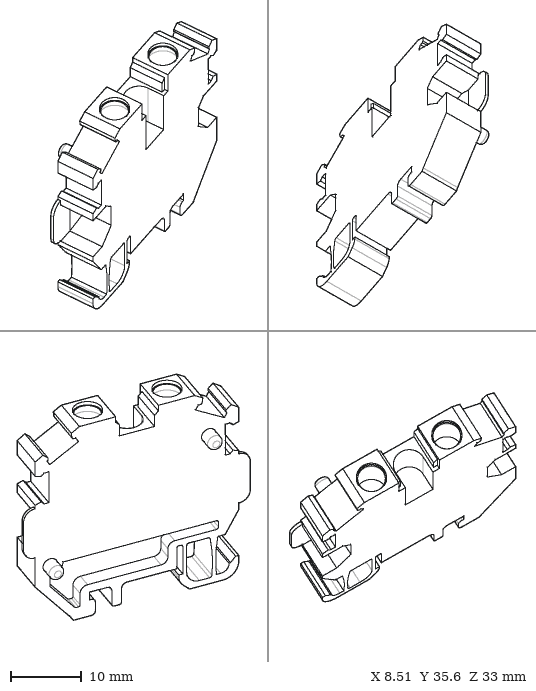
import cadquery as cq
import math


BODY_THICKNESS = 5.98
PIN_LENGTH = 2.53
HEIGHT = 33.0
HALF_WIDTH = 16.0
BASE_TOP = 12.4

NOTCH_FLOOR = 29.55
NOTCH_HALF_WIDTH = 2.75
NOTCH_LEDGE = 0.6
NOTCH_LEDGE_TOP = 32.05
NOTCH_OPEN_X = 5.4

NECK_HALF_WIDTH = 13.85
FLANK_GROOVE_BOTTOM = 21.35
FLANK_GROOVE_TOP = 26.63

SCREW_X = 3.25
SCREW_Y = 6.23
SCREW_RIM_DIAMETER = 4.27
SCREW_RIM_DEPTH = 0.57
SCREW_THROAT_DIAMETER = 3.9
SCREW_CAVITY_DIAMETER = 4.55
SCREW_CAVITY_TOP_DEPTH = 1.78
SCREW_HOLE_DEPTH = 7.12
SLOT_RADIUS = 2.28
SLOT_CENTER_X = 3.3
SLOT_DEPTH = 7.12

FLANGE_HALF_WIDTH = 17.8
FLANGE_THICKNESS = 0.5
FLANGE_BOTTOM = 12.5
FLANGE_TOP = 20.95
FLANGE_RADIUS = 1.78

FUNNEL_TOP = 20.0
FUNNEL_FLOOR_Y = 11.3
FUNNEL_FLOOR_X = 1.42
FUNNEL_FLOOR_BOTTOM = 14.75
FUNNEL_FLOOR_TOP = 18.7

RAIL_SEAT = 4.1
SPRING_TOP = 7.95
GAP_TOP = 7.73
FOOT_RADIUS = 2.53
WINDOW_RADIUS = 0.35

PIN_DIAMETER = 2.25
PIN_EDGE_RADIUS = 0.57
UPPER_PIN = (-11.25, 25.53)
LOWER_PIN = (13.65, 10.55)
RECESS_DEPTH = 2.35
RECESS_TOP = 10.5
RECESS_PIN_CLEARANCE = 2.0


def rounded_outline(corners):
    """Closed YZ outline through (y, z, radius) corners; radius 0 keeps a corner sharp."""
    outline = None
    for index, (y, z, radius) in enumerate(corners):
        corner = cq.Vector(y, z, 0)
        before = (cq.Vector(*corners[index - 1][:2], 0) - corner).normalized()
        after = (cq.Vector(*corners[(index + 1) % len(corners)][:2], 0) - corner).normalized()
        half_angle = before.getAngle(after) / 2
        setback = radius / math.tan(half_angle)
        start = corner + before * setback
        if outline is None:
            outline = cq.Workplane("YZ").moveTo(start.x, start.y)
        else:
            outline = outline.lineTo(start.x, start.y)
        if radius > 0:
            bisector = (before + after).normalized()
            middle = corner + bisector * (radius / math.sin(half_angle) - radius)
            end = corner + after * setback
            outline = outline.threePointArc((middle.x, middle.y), (end.x, end.y))
    return outline.close()


def both_sides(solid):
    return solid.union(solid.mirror("XZ"))


def make_head():
    """Upper housing: screw towers, sloped shoulders and marker hooks."""
    ledge_y = NOTCH_HALF_WIDTH + NOTCH_LEDGE
    half = rounded_outline([
        (0, BASE_TOP, 0),
        (0, NOTCH_FLOOR, 0),
        (NOTCH_HALF_WIDTH, NOTCH_FLOOR, 0),
        (NOTCH_HALF_WIDTH, NOTCH_LEDGE_TOP - NOTCH_LEDGE, 0),
        (ledge_y, NOTCH_LEDGE_TOP, 0),
        (ledge_y, HEIGHT, 0),
        (9.05, HEIGHT, 0),
        (10.32, 32.22, 0),
        (10.2, 31.45, 0),
        (10.07, 31.2, 0),
        (9.6, 31.2, 0),
        (9.2, 30.47, 0),
        (13.7, 27.85, 0),
        (14.1, 28.5, 0),
        (13.95, 28.75, 0),
        (14.0, 29.1, 0),
        (14.77, 29.75, 0),
        (HALF_WIDTH, 28.95, 0),
        (HALF_WIDTH, 26.5, 0),
        (15.05, 26.2, 0),
        (14.6, FLANK_GROOVE_TOP, 0),
        (NECK_HALF_WIDTH, FLANK_GROOVE_TOP, 0),
        (NECK_HALF_WIDTH, FLANK_GROOVE_BOTTOM, 0),
        (14.6, FLANK_GROOVE_BOTTOM, 0),
        (15.05, 21.85, 0),
        (HALF_WIDTH, 21.5, 0),
        (HALF_WIDTH, BASE_TOP, 0),
    ]).extrude(BODY_THICKNESS)
    head = both_sides(half)
    notch_end = cq.Workplane("XY").box(
        BODY_THICKNESS - NOTCH_OPEN_X, 2 * ledge_y, HEIGHT - NOTCH_FLOOR, centered=(False, True, False)
    )
    return head.cut(notch_end.translate((NOTCH_OPEN_X, 0, NOTCH_FLOOR)))


def make_base():
    """Lower housing: fixed rail claw, rail stop and the block of the spring foot."""
    return rounded_outline([
        (HALF_WIDTH, BASE_TOP, 0),
        (HALF_WIDTH, 7.45, 0),
        (10.3, 0.5, 0),
        (10.0, 0, 0),
        (6.5, 0, 0.68),
        (6.5, 2.7, 0.65),
        (7.45, 2.78, 0),
        (7.45, RAIL_SEAT, 0),
        (3.95, RAIL_SEAT, 0.8),
        (3.95, 0.57, 0.35),
        (2.42, 0.57, 0.35),
        (2.42, RAIL_SEAT, 0.85),
        (-6.25, RAIL_SEAT, 0),
        (-6.25, SPRING_TOP, 0.3),
        (-7.2, SPRING_TOP, 0.35),
        (-7.2, 2.92, 0),
        (-6.55, 2.92, 0),
        (-6.62, 1.6, 2.15),
        (-8.22, 0, 0),
        (-HALF_WIDTH, 0, FOOT_RADIUS),
        (-HALF_WIDTH, BASE_TOP, 0),
    ]).extrude(BODY_THICKNESS)


def make_foot_window():
    """Opening between the straight leg and the curved blade of the spring foot."""
    leg_y = -7.8
    floor_z = 1.05
    blade_y = -11.5
    blade_foot_y = -11.75
    return (
        cq.Workplane("YZ")
        .moveTo(leg_y, 3.0)
        .lineTo(leg_y, SPRING_TOP - WINDOW_RADIUS)
        .radiusArc((leg_y - WINDOW_RADIUS, SPRING_TOP), -WINDOW_RADIUS)
        .lineTo(blade_y + WINDOW_RADIUS, SPRING_TOP)
        .radiusArc((blade_y, SPRING_TOP - WINDOW_RADIUS), -WINDOW_RADIUS)
        .threePointArc((-11.85, 3.75), (blade_foot_y, floor_z + WINDOW_RADIUS))
        .radiusArc((blade_foot_y + WINDOW_RADIUS, floor_z), -WINDOW_RADIUS)
        .lineTo(-9.8, floor_z)
        .threePointArc((-8.33, 1.67), (leg_y, 3.0))
        .close()
        .extrude(BODY_THICKNESS)
    )


def make_hook_gap():
    """Space outside the blade, open to -Y, that shapes the blade and the end hook."""
    floor_z = 1.28
    hook_y = -14.45
    hook_radius = 1.3
    hook_top = 3.52
    corner_radius = 0.2
    blade_top_y = -12.65
    return (
        cq.Workplane("YZ")
        .moveTo(-12.45, floor_z)
        .threePointArc((-12.35, 3.5), (blade_top_y, GAP_TOP - corner_radius))
        .radiusArc((blade_top_y - corner_radius, GAP_TOP), -corner_radius)
        .lineTo(-13.85, GAP_TOP)
        .lineTo(-HALF_WIDTH, 11.4)
        .lineTo(-FLANGE_HALF_WIDTH, 11.4)
        .lineTo(-FLANGE_HALF_WIDTH, hook_top)
        .lineTo(-15.5, hook_top)
        .lineTo(-14.65, 2.67)
        .lineTo(hook_y, floor_z + hook_radius)
        .radiusArc((hook_y + hook_radius, floor_z), -hook_radius)
        .close()
        .extrude(BODY_THICKNESS)
    )


def make_funnel():
    """Wire entry on the -Y side: straight mouth, then 45 degree ramps to a flat floor."""
    outside_y = -FLANGE_HALF_WIDTH
    floor_y = -FUNNEL_FLOOR_Y
    lower_ramp = FUNNEL_FLOOR_BOTTOM - BASE_TOP
    upper_ramp = FUNNEL_TOP - FUNNEL_FLOOR_TOP
    side_profile = rounded_outline([
        (outside_y, BASE_TOP, 0),
        (floor_y - lower_ramp, BASE_TOP, 0),
        (floor_y, FUNNEL_FLOOR_BOTTOM, 0),
        (floor_y, FUNNEL_FLOOR_TOP, 0),
        (floor_y - upper_ramp, FUNNEL_TOP, 0),
        (outside_y, FUNNEL_TOP, 0),
    ]).extrude(BODY_THICKNESS)
    plan_profile = (
        cq.Workplane("XY")
        .polyline([
            (BODY_THICKNESS, outside_y),
            (FLANGE_THICKNESS, outside_y),
            (FLANGE_THICKNESS, floor_y - lower_ramp),
            (FUNNEL_FLOOR_X, floor_y),
            (BODY_THICKNESS, floor_y),
        ])
        .close()
        .extrude(HEIGHT)
    )
    return side_profile.intersect(plan_profile)


def make_flanges():
    flange_height = FLANGE_TOP - FLANGE_BOTTOM
    return (
        cq.Workplane("XY")
        .box(FLANGE_THICKNESS, 2 * FLANGE_HALF_WIDTH, flange_height, centered=(False, True, False))
        .edges("|X")
        .fillet(FLANGE_RADIUS)
        .translate((0, 0, FLANGE_BOTTOM))
    )


def make_screw_hole():
    """Hole in the -Y tower: a stepped rim, then a throat flaring to a wider cavity."""
    rim_radius = SCREW_RIM_DIAMETER / 2
    throat_radius = SCREW_THROAT_DIAMETER / 2
    cavity_radius = SCREW_CAVITY_DIAMETER / 2
    return (
        cq.Workplane("XZ", origin=(SCREW_X, -SCREW_Y, HEIGHT))
        .polyline([
            (0, 0),
            (rim_radius, 0),
            (rim_radius, -SCREW_RIM_DEPTH),
            (throat_radius, -SCREW_RIM_DEPTH),
            (cavity_radius, -SCREW_CAVITY_TOP_DEPTH),
            (cavity_radius, -SCREW_HOLE_DEPTH),
            (0, -SCREW_HOLE_DEPTH),
        ])
        .close()
        .revolve(360, (0, 0, 0), (0, 1, 0))
    )


def make_driver_slot():
    """Round-ended slot in the notch floor, open towards +X."""
    notch_floor = cq.Workplane("XY", origin=(SLOT_CENTER_X, 0, NOTCH_FLOOR))
    round_end = notch_floor.circle(SLOT_RADIUS).extrude(-SLOT_DEPTH)
    channel_length = BODY_THICKNESS - SLOT_CENTER_X
    channel = (
        notch_floor.center(channel_length / 2, 0)
        .rect(channel_length, 2 * SLOT_RADIUS)
        .extrude(-SLOT_DEPTH)
    )
    return round_end.union(channel)


def make_recess():
    """Stepped recess in the mating face, kept clear of the lower pin."""
    pin_y, pin_z = LOWER_PIN
    recess = rounded_outline([
        (-12.78, RECESS_TOP, 0.35),
        (pin_y, RECESS_TOP, 0),
        (pin_y, 6.87, 0),
        (9.72, 2.1, 0.18),
        (8.95, 2.1, 0.25),
        (8.95, 5.5, 1.17),
        (-4.85, 5.5, 1.07),
        (-4.85, 9.0, 1.07),
        (-12.78, 9.0, 0.35),
    ]).extrude(RECESS_DEPTH)
    pin_seat = (
        cq.Workplane("YZ")
        .center(pin_y, pin_z)
        .circle(RECESS_PIN_CLEARANCE)
        .extrude(RECESS_DEPTH)
    )
    return recess.cut(pin_seat)


def make_pin(center):
    return (
        cq.Workplane("YZ")
        .center(*center)
        .circle(PIN_DIAMETER / 2)
        .extrude(-PIN_LENGTH)
        .faces("<X")
        .edges()
        .fillet(PIN_EDGE_RADIUS)
    )


housing = make_head().union(make_base())
housing = housing.cut(both_sides(make_funnel()))
housing = housing.union(make_flanges())
for opening in (
    make_foot_window(),
    make_hook_gap(),
    both_sides(make_screw_hole()),
    make_driver_slot(),
    make_recess(),
):
    housing = housing.cut(opening)
for pin_center in (UPPER_PIN, LOWER_PIN):
    housing = housing.union(make_pin(pin_center))

result = housing